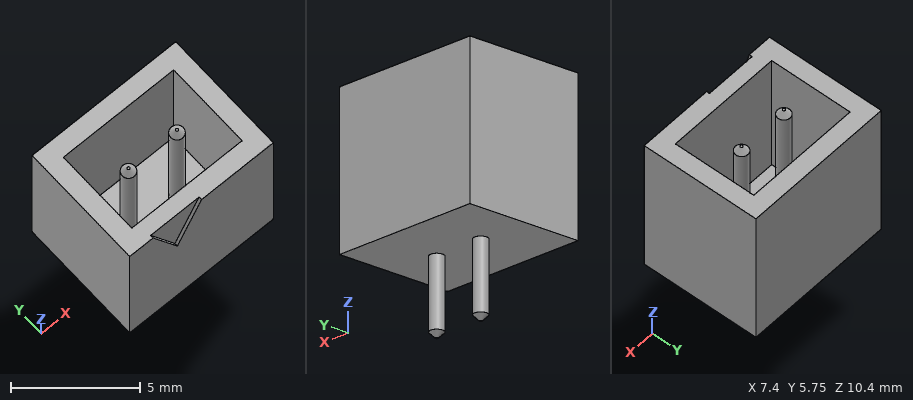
import cadquery as cq

HOUSING_LENGTH = 7.4
HOUSING_WIDTH = 5.75
HOUSING_HEIGHT = 6.99
WALL = 0.86
FLOOR = WALL

PIN_LENGTH = 10.4
PIN_DIAMETER = 0.65
PIN_PITCH = 2.5
TIP_HEIGHT = 0.25
TIP_DIAMETER = 0.12
PIN_POSITIONS = [-PIN_PITCH / 2, PIN_PITCH / 2]
PIN_BOTTOM = HOUSING_HEIGHT - PIN_LENGTH

MARK_WIDTH = 2.5
MARK_HEIGHT = 2.5
MARK_DEPTH = 0.15


def make_mark_cutter():
    """Triangular prism that removes the first-pin mark from the -Y wall."""
    centre_x = PIN_POSITIONS[0]
    return (
        cq.Workplane("XZ", origin=(0, -HOUSING_WIDTH / 2, 0))
        .moveTo(centre_x - MARK_WIDTH / 2, HOUSING_HEIGHT)
        .lineTo(centre_x + MARK_WIDTH / 2, HOUSING_HEIGHT)
        .lineTo(centre_x, HOUSING_HEIGHT - MARK_HEIGHT)
        .close()
        .extrude(-MARK_DEPTH)
    )


def make_housing():
    """Box with a rectangular cavity, a pin hole for each pin and the first-pin mark."""
    body = cq.Workplane("XY").rect(HOUSING_LENGTH, HOUSING_WIDTH).extrude(HOUSING_HEIGHT)
    cavity = (
        cq.Workplane("XY", origin=(0, 0, FLOOR))
        .rect(HOUSING_LENGTH - 2 * WALL, HOUSING_WIDTH - 2 * WALL)
        .extrude(HOUSING_HEIGHT - FLOOR)
    )
    pin_holes = (
        cq.Workplane("XY")
        .pushPoints([(x, 0) for x in PIN_POSITIONS])
        .circle(PIN_DIAMETER / 2)
        .extrude(FLOOR)
    )
    return body.cut(cavity).cut(pin_holes).cut(make_mark_cutter())


def make_pin(x):
    """Round pin with a blunt conical tip at both ends, standing at the given X."""
    pin_top = PIN_BOTTOM + PIN_LENGTH
    return (
        cq.Workplane("XZ")
        .moveTo(0, PIN_BOTTOM)
        .lineTo(TIP_DIAMETER / 2, PIN_BOTTOM)
        .lineTo(PIN_DIAMETER / 2, PIN_BOTTOM + TIP_HEIGHT)
        .lineTo(PIN_DIAMETER / 2, pin_top - TIP_HEIGHT)
        .lineTo(TIP_DIAMETER / 2, pin_top)
        .lineTo(0, pin_top)
        .close()
        .revolve(360, (0, 0, 0), (0, 1, 0))
        .translate((x, 0, 0))
    )


housing = make_housing()
pins = [make_pin(x) for x in PIN_POSITIONS]

result = cq.Compound.makeCompound([housing.val(), *[pin.val() for pin in pins]])